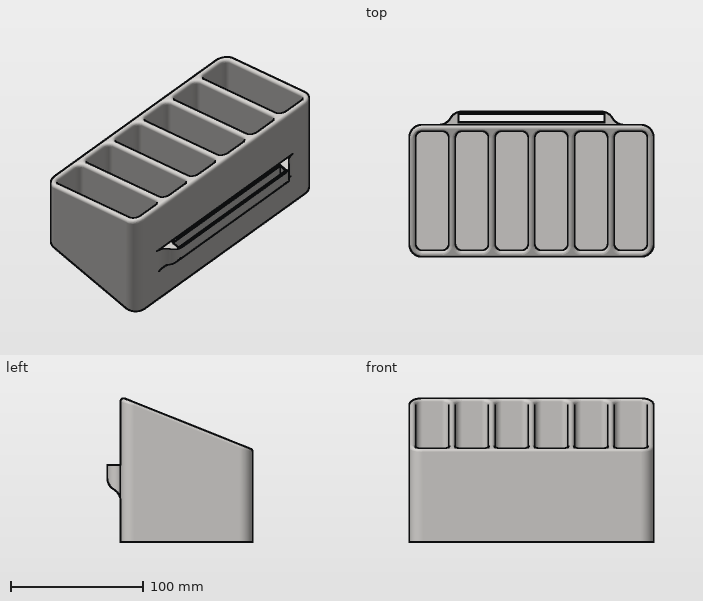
import cadquery as cq
import math

BODY_WIDTH = 185.0
BODY_DEPTH = 100.0
BACK_HEIGHT = 110.0
FRONT_HEIGHT = 70.0
CORNER_RADIUS = 10.0

POCKET_COUNT = 6
WALL = 5.0
FLOOR = 5.0
POCKET_RADIUS = CORNER_RADIUS - WALL
POCKET_WIDTH = (BODY_WIDTH - (POCKET_COUNT + 1) * WALL) / POCKET_COUNT
POCKET_DEPTH = BODY_DEPTH - 2 * WALL
POCKET_PITCH = POCKET_WIDTH + WALL

RIM_SLIVER = 0.01
RIM_RADIUS = WALL / 2 - RIM_SLIVER

LOOP_DEPTH = 10.0
LOOP_TOP = 58.5
LOOP_FLAT_HEIGHT = 10.0
LOOP_FLAT_WIDTH = 105.0
LOOP_RADIUS = 10.0
FLARE_ANGLE = math.acos(1 - LOOP_DEPTH / (2 * LOOP_RADIUS))
FLARE_LENGTH = 2 * LOOP_RADIUS * math.sin(FLARE_ANGLE)

SLOT_WIDTH = 110.0
SLOT_DEPTH = 6.0
SLOT_CHAMFER = 0.5

BACK_Y = BODY_DEPTH / 2
FRONT_Y = -BODY_DEPTH / 2
LOOP_ROOT_Y = BACK_Y - WALL / 2


def make_sloped_body():
    box = (
        cq.Workplane("XY")
        .rect(BODY_WIDTH, BODY_DEPTH)
        .extrude(BACK_HEIGHT)
        .edges("|Z")
        .fillet(CORNER_RADIUS)
    )
    side_profile = (
        cq.Workplane("YZ")
        .moveTo(FRONT_Y, 0)
        .lineTo(BACK_Y, 0)
        .lineTo(BACK_Y, BACK_HEIGHT)
        .lineTo(FRONT_Y, FRONT_HEIGHT)
        .close()
        .extrude(BODY_WIDTH / 2, both=True)
    )
    return box.intersect(side_profile)


def make_pockets():
    return (
        cq.Workplane("XY")
        .workplane(offset=FLOOR)
        .rarray(POCKET_PITCH, 1, POCKET_COUNT, 1)
        .rect(POCKET_WIDTH, POCKET_DEPTH)
        .extrude(BACK_HEIGHT)
        .edges("|Z")
        .fillet(POCKET_RADIUS)
    )


def make_tray():
    tray = make_sloped_body().cut(make_pockets())
    return tray.faces(">Z").edges().fillet(RIM_RADIUS)


def flare_points(start, direction):
    """Points (along, outward) on a flare that sinks from the loop's outer face to the wall.

    Order: middle of the convex arc, joint, middle of the concave arc, foot on the wall.
    """
    half_run = LOOP_RADIUS * math.sin(FLARE_ANGLE / 2)
    half_drop = LOOP_RADIUS * (1 - math.cos(FLARE_ANGLE / 2))
    outer_y = BACK_Y + LOOP_DEPTH
    foot = start + direction * FLARE_LENGTH
    return [
        (start + direction * half_run, outer_y - half_drop),
        (start + direction * FLARE_LENGTH / 2, BACK_Y + LOOP_DEPTH / 2),
        (foot - direction * half_run, BACK_Y + half_drop),
        (foot, BACK_Y),
    ]


def make_loop_plan():
    """Plan outline of the loop, flared at both ends, as a tall prism."""
    half_flat = LOOP_FLAT_WIDTH / 2
    convex_l, joint_l, concave_l, foot_l = flare_points(-half_flat, -1)
    convex_r, joint_r, concave_r, foot_r = flare_points(half_flat, 1)
    return (
        cq.Workplane("XY")
        .moveTo(foot_l[0], LOOP_ROOT_Y)
        .lineTo(*foot_l)
        .threePointArc(concave_l, joint_l)
        .threePointArc(convex_l, (-half_flat, BACK_Y + LOOP_DEPTH))
        .lineTo(half_flat, BACK_Y + LOOP_DEPTH)
        .threePointArc(convex_r, joint_r)
        .threePointArc(concave_r, foot_r)
        .lineTo(foot_r[0], LOOP_ROOT_Y)
        .close()
        .extrude(LOOP_TOP)
    )


def make_loop_side():
    """Side outline of the loop, flat on top and flared underneath, as a wide prism."""
    flat_bottom = LOOP_TOP - LOOP_FLAT_HEIGHT
    convex, joint, concave, foot = [(y, z) for z, y in flare_points(flat_bottom, -1)]
    return (
        cq.Workplane("YZ")
        .moveTo(LOOP_ROOT_Y, LOOP_TOP)
        .lineTo(BACK_Y + LOOP_DEPTH, LOOP_TOP)
        .lineTo(BACK_Y + LOOP_DEPTH, flat_bottom)
        .threePointArc(convex, joint)
        .threePointArc(concave, foot)
        .lineTo(LOOP_ROOT_Y, foot[1])
        .close()
        .extrude(BODY_WIDTH / 2, both=True)
    )


def make_loop():
    slot_y = BACK_Y + LOOP_DEPTH / 2
    slot = (
        cq.Workplane("XY")
        .center(0, slot_y)
        .rect(SLOT_WIDTH, SLOT_DEPTH)
        .extrude(LOOP_TOP)
    )
    mouth = (
        cq.Workplane("XY")
        .workplane(offset=LOOP_TOP - SLOT_CHAMFER)
        .center(0, slot_y)
        .rect(SLOT_WIDTH, SLOT_DEPTH)
        .workplane(offset=SLOT_CHAMFER)
        .rect(SLOT_WIDTH + 2 * SLOT_CHAMFER, SLOT_DEPTH + 2 * SLOT_CHAMFER)
        .loft()
    )
    return make_loop_plan().intersect(make_loop_side()).cut(slot).cut(mouth)


result = make_tray().union(make_loop())